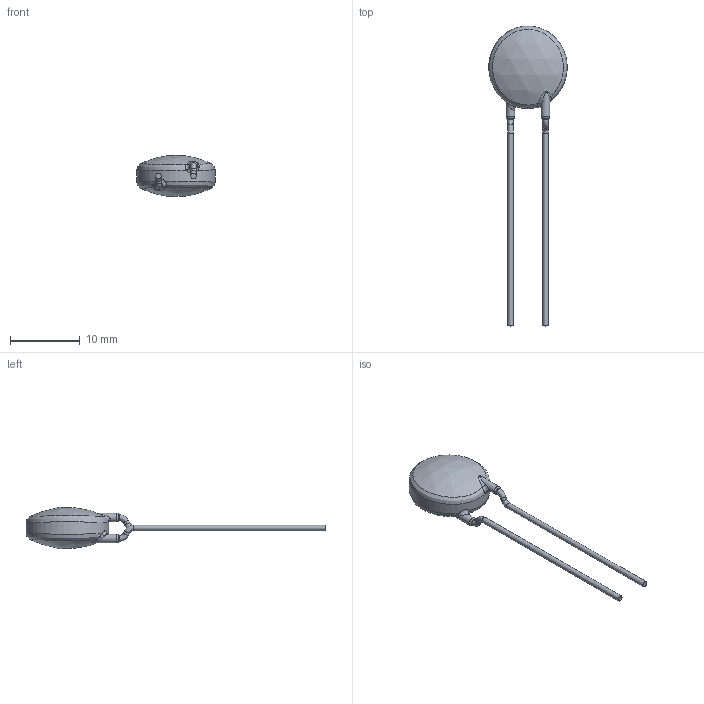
import cadquery as cq
import math

BODY_WIDTH = 11.2
BODY_LENGTH = 11.8
BODY_THICKNESS = 6.0
DOME_RADIUS = 11.06
RIM_FILLET = 1.0

OVERALL_LENGTH = 42.87
LEAD_PITCH = 5.0
WIRE_RADIUS = 0.4
LEAD_EXIT_HEIGHT = 1.5
BEND_RADIUS = 1.0
BEND_ANGLE = 65.0
STRAIGHT_BEFORE_BEND = 0.17

SLEEVE_RADIUS = 0.6
SLEEVE_OVERHANG = 1.38
SLEEVE_END_FILLET = 0.18
SLEEVE_ROOT_FILLET = 0.5
ROOT_BOX_MARGIN = 0.1

BODY_FRONT_Y = -BODY_LENGTH / 2
LEAD_TIP_Y = BODY_LENGTH / 2 - OVERALL_LENGTH
SLEEVE_END_Y = BODY_FRONT_Y - SLEEVE_OVERHANG
BEND_START_Y = SLEEVE_END_Y - STRAIGHT_BEFORE_BEND
ROOT_Y = BODY_FRONT_Y / 2


def make_body():
    """Oval disc trimmed by two domes, with rounded rims."""
    disc = (
        cq.Workplane("XY")
        .ellipse(BODY_LENGTH / 2, BODY_WIDTH / 2, rotation_angle=-90)
        .extrude(BODY_THICKNESS)
        .translate((0, 0, -BODY_THICKNESS / 2))
    )
    dome_offset = DOME_RADIUS - BODY_THICKNESS / 2
    for side in (1, -1):
        dome = cq.Workplane("XZ").sphere(DOME_RADIUS).translate((0, 0, -side * dome_offset))
        disc = disc.intersect(dome)
    rims = disc.faces(">Z or <Z").edges()
    return rims.fillet(RIM_FILLET)


def make_sleeve():
    """Coating sleeve of the upper lead, rounded at its free end."""
    return (
        cq.Workplane("XZ", origin=(LEAD_PITCH / 2, ROOT_Y, LEAD_EXIT_HEIGHT))
        .circle(SLEEVE_RADIUS)
        .extrude(ROOT_Y - SLEEVE_END_Y)
        .faces("<Y")
        .edges()
        .fillet(SLEEVE_END_FILLET)
    )


def make_wire():
    """Upper lead: out of the sleeve, S-bend down to the mid-plane, then straight."""
    angle = math.radians(BEND_ANGLE)

    def arc_run(turn):
        return BEND_RADIUS * math.sin(turn)

    def arc_drop(turn):
        return BEND_RADIUS * (1 - math.cos(turn))

    slope_drop = LEAD_EXIT_HEIGHT - 2 * arc_drop(angle)
    slope_run = slope_drop / math.tan(angle)
    bend_end_y = BEND_START_Y - 2 * arc_run(angle) - slope_run

    path = (
        cq.Workplane("YZ", origin=(LEAD_PITCH / 2, 0, 0))
        .moveTo(ROOT_Y, LEAD_EXIT_HEIGHT)
        .lineTo(BEND_START_Y, LEAD_EXIT_HEIGHT)
        .threePointArc(
            (BEND_START_Y - arc_run(angle / 2), LEAD_EXIT_HEIGHT - arc_drop(angle / 2)),
            (BEND_START_Y - arc_run(angle), LEAD_EXIT_HEIGHT - arc_drop(angle)),
        )
        .lineTo(bend_end_y + arc_run(angle), arc_drop(angle))
        .threePointArc(
            (bend_end_y + arc_run(angle / 2), arc_drop(angle / 2)),
            (bend_end_y, 0),
        )
        .lineTo(LEAD_TIP_Y, 0)
    )
    return (
        cq.Workplane("XZ", origin=(LEAD_PITCH / 2, ROOT_Y, LEAD_EXIT_HEIGHT))
        .circle(WIRE_RADIUS)
        .sweep(path)
    )


def to_lower_side(shape):
    """Turn an upper-lead shape half a turn about Y to serve the lower lead."""
    return shape.rotate((0, 0, 0), (0, 1, 0), 180)


def join_sleeves(body, sleeve):
    """Body with both sleeves, blended where the sleeves emerge from it."""
    coated = body.union(sleeve).union(to_lower_side(sleeve))
    half_box = SLEEVE_RADIUS + ROOT_BOX_MARGIN
    for side in (1, -1):
        center_x = side * LEAD_PITCH / 2
        center_z = side * LEAD_EXIT_HEIGHT
        root_box = cq.selectors.BoxSelector(
            (center_x - half_box, BODY_FRONT_Y, center_z - half_box),
            (center_x + half_box, ROOT_Y, center_z + half_box),
            boundingbox=True,
        )
        coated = coated.edges(root_box).fillet(SLEEVE_ROOT_FILLET)
    return coated


upper_wire = make_wire()
coated_body = join_sleeves(make_body(), make_sleeve())
result = coated_body.union(upper_wire).union(to_lower_side(upper_wire))